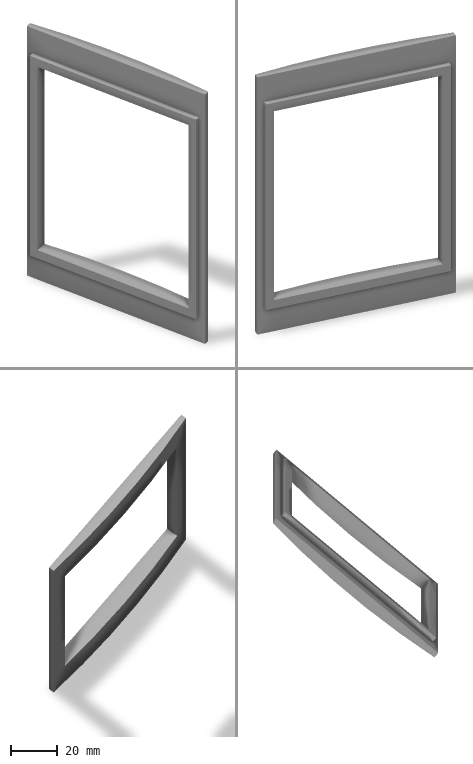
import cadquery as cq

width = 91.0
height = 132.6
depth = 7.3

lip_depth = 2.3
edge_thickness = 2.5
crown_y = depth
plate_front_y = lip_depth
plate_edge_y = plate_front_y + edge_thickness

lip_width = 84.9
lip_height = 106.1
window_width = 77.2
window_height = 97.3


def crowned_plate():
    """Plate with a flat front and a back that bulges along an arc across its width."""
    half_width = width / 2
    return (
        cq.Workplane("XY")
        .workplane(offset=-height / 2)
        .moveTo(-half_width, plate_front_y)
        .lineTo(half_width, plate_front_y)
        .lineTo(half_width, plate_edge_y)
        .threePointArc((0, crown_y), (-half_width, plate_edge_y))
        .close()
        .extrude(height)
    )


def centered_block(block_width, block_height, block_depth):
    """Block centered in X and Z that starts at the lip face, Y = 0."""
    return cq.Workplane("XY").box(
        block_width, block_depth, block_height, centered=(True, False, True)
    )


lip = centered_block(lip_width, lip_height, lip_depth)

window = centered_block(window_width, window_height, depth)

result = crowned_plate().union(lip).cut(window)